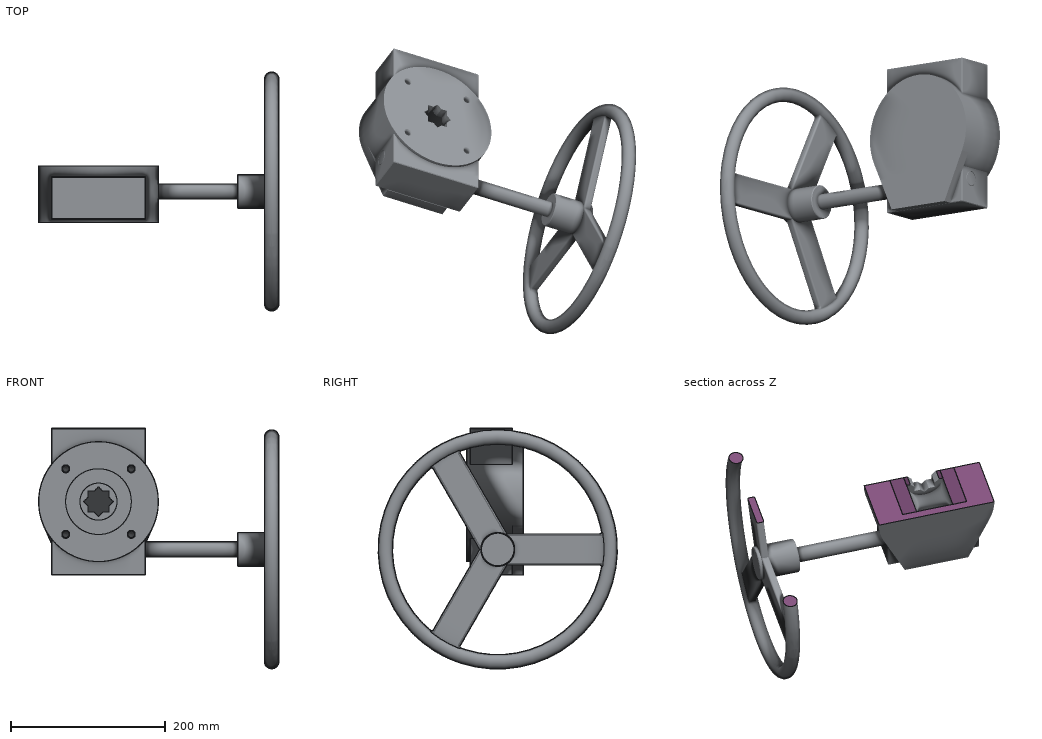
import cadquery as cq
import math


drum_diameter = 155.0
drum_radius = drum_diameter / 2
drum_front_y = -40.2
drum_rear_y = 33.0
box_width = 122.0
box_height = 190.0
box_front_y = -36.0
box_rear_y = 19.3
box_edge_chamfer = 1.0
taper_angle = 24.0

thread_minor_diameter = 8.5
thread_major_diameter = 10.3
thread_pitch = 1.5
thread_turns = 10
bolt_spacing = 84.7
drill_tip_angle = 118.0

output_hub_diameter = 85.0
output_hub_length = 62.3
insert_diameter = 48.0
insert_length = 15.0
star_square_side = 27.0

wheel_outer_diameter = 309.3
overall_height = 311.5
shaft_diameter = 20.0
shaft_z = box_height / 2 + wheel_outer_diameter / 2 - overall_height
shaft_start_x = -box_width / 2
shaft_end_chamfer = 1.0
hub_diameter = 44.0
hub_front_x = 179.7
hub_edge_chamfer = 1.0
rim_section_diameter = 18.7
rim_plane_x = 224.0
rim_radius = (wheel_outer_diameter - rim_section_diameter) / 2
spoke_count = 3
spoke_width = 40.5
spoke_thickness = 10.0
spoke_fillet = 2.2
root_edge_band = 4.7
hub_rear_x = rim_plane_x + rim_section_diameter / 2


def cylinder_along_y(diameter, front_y, length):
    """Cylinder on the output axis, running towards +Y from front_y."""
    return cq.Workplane("XZ", origin=(0, front_y, 0)).circle(diameter / 2).extrude(-length)


def cylinder_along_x(diameter, start_x, end_x):
    """Cylinder on the input shaft axis."""
    return (
        cq.Workplane("YZ", origin=(start_x, 0, shaft_z))
        .circle(diameter / 2)
        .extrude(end_x - start_x)
    )


def make_rear_plate():
    """Plate behind the box whose flanks leave the drum tangentially and taper to the box bottom."""
    angle = math.radians(taper_angle)
    tangent_x = drum_radius * math.cos(angle)
    tangent_z = -drum_radius * math.sin(angle)
    bottom_z = -box_height / 2
    bottom_x = tangent_x - (tangent_z - bottom_z) * math.tan(angle)
    return (
        cq.Workplane("XZ", origin=(0, box_rear_y, 0))
        .moveTo(-tangent_x, tangent_z)
        .lineTo(tangent_x, tangent_z)
        .lineTo(bottom_x, bottom_z)
        .lineTo(-bottom_x, bottom_z)
        .close()
        .extrude(-(drum_rear_y - box_rear_y))
    )


def make_bolt_hole():
    """Blind hole along +Y with a ring-grooved thread and a conical drill tip."""
    crest_radius = thread_minor_diameter / 2
    root_radius = thread_major_diameter / 2
    tip_length = crest_radius / math.tan(math.radians(drill_tip_angle / 2))
    depth = thread_turns * thread_pitch
    profile = cq.Workplane("XY").lineTo(root_radius, 0)
    for turn in range(thread_turns):
        start = turn * thread_pitch
        profile = profile.lineTo(crest_radius, start + thread_pitch / 2)
        if turn < thread_turns - 1:
            profile = profile.lineTo(root_radius, start + thread_pitch)
    profile = profile.lineTo(crest_radius, depth).lineTo(0, depth + tip_length).close()
    return profile.revolve(360, (0, 0, 0), (0, 1, 0))


def cut_bolt_holes(body):
    hole = make_bolt_hole()
    for side_x in (-1, 1):
        for side_z in (-1, 1):
            place = (side_x * bolt_spacing / 2, drum_front_y, side_z * bolt_spacing / 2)
            body = body.cut(hole.translate(place))
    return body


def make_housing():
    drum = cylinder_along_y(drum_diameter, drum_front_y, drum_rear_y - drum_front_y)
    box = (
        cq.Workplane("XZ", origin=(0, box_front_y, 0))
        .rect(box_width, box_height)
        .extrude(-(box_rear_y - box_front_y))
        .edges()
        .chamfer(box_edge_chamfer)
    )
    body = drum.union(box).union(make_rear_plate())
    body = cut_bolt_holes(body)
    body = body.cut(cylinder_along_y(output_hub_diameter, drum_front_y, output_hub_length))
    return body.cut(cylinder_along_x(shaft_diameter, shaft_start_x, drum_radius))


def make_output_hub():
    """Tube that fills the housing's blind pocket and carries the drive insert at its front."""
    tube = cylinder_along_y(output_hub_diameter, drum_front_y, output_hub_length)
    return tube.cut(cylinder_along_y(insert_diameter, drum_front_y, output_hub_length))


def make_drive_insert():
    """Round insert with an eight-pointed through hole made of two squares turned by 45 degrees."""
    insert = cylinder_along_y(insert_diameter, drum_front_y, insert_length)
    for turn in (0, 45):
        square = (
            cq.Workplane("XZ", origin=(0, drum_front_y, 0))
            .rect(star_square_side, star_square_side)
            .extrude(-insert_length)
            .rotate((0, 0, 0), (0, 1, 0), turn)
        )
        insert = insert.cut(square)
    return insert


def make_spoke():
    """Flat bar pointing to +Y from the shaft axis, ending inside the rim section."""
    return (
        cq.Workplane("XY")
        .box(spoke_thickness, rim_radius, spoke_width, centered=(True, False, True))
        .translate((rim_plane_x, 0, shaft_z))
    )


def make_rim():
    center = cq.Vector(rim_plane_x, 0, shaft_z)
    x_direction = cq.Vector(1, 0, 0)
    return cq.Workplane(cq.Solid.makeTorus(rim_radius, rim_section_diameter / 2, center, x_direction))


def is_side_root(edge):
    """True for the edges where the narrow sides of a spoke run into the inner side of the rim."""
    center = edge.Center()
    distance = math.hypot(center.y, center.z - shaft_z)
    near_rim = abs(distance - (rim_radius - rim_section_diameter / 2)) < root_edge_band
    between_faces = abs(center.x - rim_plane_x) < spoke_thickness / 4
    return near_rim and between_faces


def is_spoke_edge(edge):
    """True for the long straight edges of the spokes."""
    return edge.geomType() == "LINE" and edge.Length() > rim_radius / 2


def make_handwheel():
    """Input shaft, hub, spokes and rim in one piece."""
    wheel = make_rim()
    axis_start = (0, 0, shaft_z)
    axis_end = (1, 0, shaft_z)
    for index in range(spoke_count):
        turn = index * 360 / spoke_count
        wheel = wheel.union(make_spoke().rotate(axis_start, axis_end, turn))
    wheel = wheel.edges().filter(is_side_root).fillet(spoke_fillet)
    wheel = wheel.edges().filter(is_spoke_edge).fillet(spoke_fillet)
    hub = cylinder_along_x(hub_diameter, hub_front_x, hub_rear_x)
    hub = hub.faces("<X or >X").chamfer(hub_edge_chamfer)
    shaft = cylinder_along_x(shaft_diameter, shaft_start_x, hub_front_x)
    shaft = shaft.faces("<X").chamfer(shaft_end_chamfer)
    return wheel.union(hub).union(shaft)


housing = make_housing()
output_hub = make_output_hub()
drive_insert = make_drive_insert()
handwheel = make_handwheel()

result = cq.Compound.makeCompound(
    [housing.val(), output_hub.val(), drive_insert.val(), handwheel.val()]
)